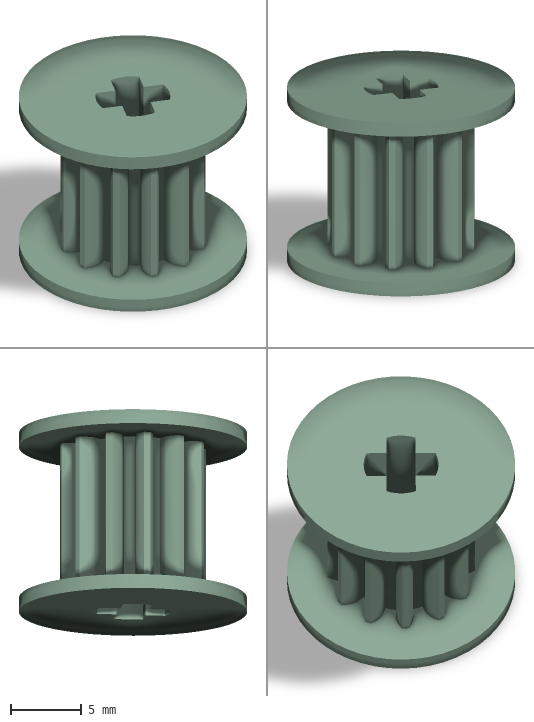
import cadquery as cq
import math

flange_diameter = 16.25
height = 13.0
flange_thickness = 1.0

tooth_count = 12
pitch_diameter = 9.0
pressure_angle = math.radians(20)
dedendum_factor = 1.25
first_tooth_angle = 15.0

module = pitch_diameter / tooth_count
pitch_radius = pitch_diameter / 2
tip_radius = pitch_radius + module
root_radius = pitch_radius - dedendum_factor * module
base_radius = pitch_radius * math.cos(pressure_angle)

bore_radius = 2.66
cross_arm_width = 2.08
cross_angle = 41.7

overlap = 0.16


def polar(radius, angle):
    return (radius * math.cos(angle), radius * math.sin(angle))


def involute(angle):
    return math.tan(angle) - angle


base_half_angle = math.pi / (2 * tooth_count) + involute(pressure_angle)


def flank_point(radius, side):
    """Point on a tooth flank; side is -1 or +1 about the tooth's axis."""
    roll = involute(math.acos(min(1.0, base_radius / radius)))
    return polar(radius, side * (base_half_angle - roll))


def make_tooth(length):
    """One tooth along +X: radial below the base circle, involute above it."""
    flank_steps = 6
    step = (tip_radius - base_radius) / flank_steps
    radii = [base_radius + i * step for i in range(flank_steps + 1)]
    lower = [flank_point(r, -1) for r in radii]
    upper = [flank_point(r, 1) for r in reversed(radii)]
    foot_radius = root_radius - overlap
    return (
        cq.Workplane("XY")
        .moveTo(*polar(foot_radius, -base_half_angle))
        .lineTo(*lower[0])
        .spline(lower[1:], includeCurrent=True)
        .threePointArc((tip_radius, 0), upper[0])
        .spline(upper[1:], includeCurrent=True)
        .lineTo(*polar(foot_radius, base_half_angle))
        .close()
        .extrude(length)
    )


def make_pinion():
    pinion = cq.Workplane("XY").circle(root_radius).extrude(height)
    tooth = make_tooth(height)
    for i in range(tooth_count):
        angle = first_tooth_angle + i * 360 / tooth_count
        pinion = pinion.union(tooth.rotate((0, 0, 0), (0, 0, 1), angle))
    return pinion


def make_flange(bottom):
    return (
        cq.Workplane("XY", origin=(0, 0, bottom))
        .circle(flange_diameter / 2)
        .extrude(flange_thickness)
    )


def make_cross_bore():
    """Two crossed slots with their ends rounded to the bore radius."""
    arm = cq.Workplane("XY").rect(2 * bore_radius, cross_arm_width).extrude(height)
    cross = arm.union(arm.rotate((0, 0, 0), (0, 0, 1), 90))
    bore = cq.Workplane("XY").circle(bore_radius).extrude(height)
    return cross.intersect(bore).rotate((0, 0, 0), (0, 0, 1), cross_angle)


result = (
    make_pinion()
    .union(make_flange(0))
    .union(make_flange(height - flange_thickness))
    .cut(make_cross_bore())
)